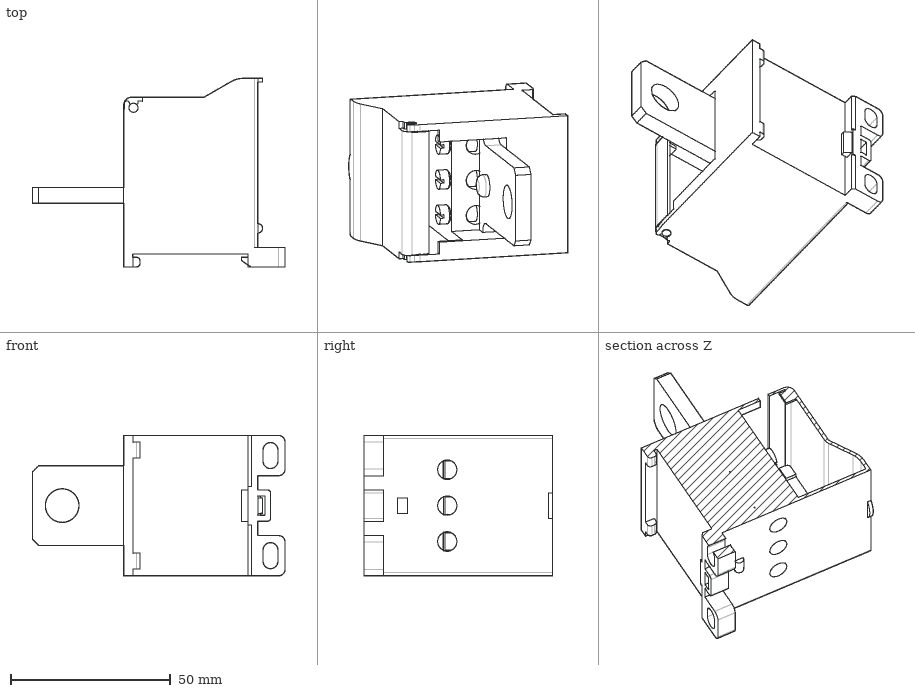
import cadquery as cq
import math

length = 79.2
height = 59.2
half_width = 22.0

front_x = 28.6
back_x = 70.65
deck_y = 53.2
slope_start_x = 53.8
slope_angle = 30.0
hood_radius = 7.9
front_corner_radius = 2.5
back_edge_radius = 1.0
wall = 1.3
roof_kink_radius = 3.95

foot_y = 6.2
channel_x1 = 31.5
channel_x2 = 67.55
channel_y = 4.0
hook_y = 3.1
front_hook_reach = 2.2
front_hook_radius = 1.1
front_hook_inner_z = 14.9
front_hook_outer_z = 19.9
rear_hook_reach = 2.05
rear_hook_lip = 1.0
rear_hook_run = 2.8
rear_hook_half_z = 4.9
foot_chamfer_x = 1.0
foot_chamfer_y = 0.7
foot_chamfer_inner_z = 6.0
lug_inner_z = 9.35
lug_radius = 2.05
slot_x = 74.6
slot_z = 15.7
slot_length = 8.1
slot_width = 4.6
tab_x = 74.7
tab_half_z = 4.9
tab_radius = 0.95
window_length = 2.2
window_half_z = 3.0

cavity_half_z = 19.9
opening_half_z = 16.1
step_y = 41.8
flap_bottom_y = 45.15
flap_thickness = 0.95
flap_gap = 0.2
flap_gap_top_y = 50.7
block_front_x = 42.4
block_top_y = 34.0

bar_y = 19.95
bar_thickness = 5.0
bar_top_y = bar_y + bar_thickness
bar_half_z = 12.5
bar_chamfer = 2.0
bar_hole_x = 9.35
bar_hole_diameter = 10.45
flare_x = 34.85

terminal_pitch = 11.25
terminal_hole_y = 26.1
terminal_hole_radius = 3.0
screw_x = 45.8
screw_tip_y = 25.4
screw_radius = 2.8
head_radius = 3.0
head_height = 3.5
head_neck = 0.55
driver_slot_width = 1.0
driver_slot_depth = 1.1
bar_screw_x = 33.6
bar_screw_radius = 3.5
bar_screw_rim = 1.2
bar_screw_height = 2.9

hinge_x = 31.7
hinge_y = 49.9
hinge_radius = 1.4
hinge_recess = 0.3
catch_reach = 1.5
catch_y = 12.1
catch_half_z = 2.45
thumb_radius = 6.1
thumb_thickness = 1.3


def box(x1, x2, y1, y2, z1, z2):
    """Block between two opposite corners."""
    return cq.Workplane("XY").box(x2 - x1, y2 - y1, z2 - z1, centered=False).translate((x1, y1, z1))


def slab(x1, x2, y1, y2, half_z):
    """Block centred across the width."""
    return box(x1, x2, y1, y2, -half_z, half_z)


def post(x, z, y1, y2, radius):
    """Upright cylinder from height y1 to y2."""
    return cq.Workplane("XZ", origin=(x, y1, z)).circle(radius).extrude(y1 - y2)


def lid_profile(inset, bottom_y):
    """Side profile of the housing, offset inwards by the inset."""
    angle = math.radians(slope_angle)
    top = height - inset
    deck = deck_y - inset
    kink_x = slope_start_x + inset * math.tan(angle / 2)
    crest_x = kink_x + (top - deck) / math.tan(angle)
    radius = hood_radius - inset
    tangent = radius * math.tan(angle / 2)
    corner = front_corner_radius - inset
    x1 = front_x + inset
    x2 = back_x - inset
    bend = corner * (1 - math.sqrt(0.5))
    return (
        cq.Workplane("XY")
        .moveTo(x1, bottom_y)
        .lineTo(x1, deck - corner)
        .threePointArc((x1 + bend, deck - bend), (x1 + corner, deck))
        .lineTo(kink_x, deck)
        .lineTo(crest_x - tangent * math.cos(angle), top - tangent * math.sin(angle))
        .tangentArcPoint((crest_x + tangent, top), relative=False)
        .lineTo(x2, top)
        .lineTo(x2, bottom_y)
        .close()
    )


def make_housing():
    """Hollow housing with a stepped front opening and the lid flap above it."""
    housing = lid_profile(0, 0).extrude(half_width, both=True)
    housing = housing.edges("|Y and >X").fillet(back_edge_radius)
    cavity = lid_profile(wall, block_top_y).extrude(cavity_half_z, both=True)
    roof_kink = cq.selectors.NearestToPointSelector((slope_start_x, deck_y - wall, 0))
    cavity = cavity.edges("|Z").edges(roof_kink).fillet(roof_kink_radius)
    housing = housing.cut(cavity)
    housing = housing.cut(slab(front_x + wall, block_front_x, bar_y, block_top_y, opening_half_z))
    housing = housing.cut(slab(front_x, front_x + wall, bar_y, step_y, opening_half_z))
    housing = housing.cut(slab(front_x, front_x + wall, step_y, flap_bottom_y, cavity_half_z))
    flap_back_x = front_x + flap_thickness
    housing = housing.cut(
        slab(flap_back_x, front_x + wall, flap_bottom_y, flap_gap_top_y, cavity_half_z)
    )
    for side in (-1, 1):
        gap = slab(front_x, flap_back_x, flap_bottom_y, flap_gap_top_y, flap_gap / 2)
        housing = housing.cut(gap.translate((0, 0, side * (cavity_half_z - flap_gap / 2))))
    return housing


def add_foot(body):
    """Slotted lugs, centre tab, rail channel and the hooks that grip the rail."""
    foot = slab(channel_x2, back_x, 0, foot_y, half_width)
    for side in (-1, 1):
        z1, z2 = sorted((side * lug_inner_z, side * half_width))
        lug = box(channel_x2, length, 0, foot_y, z1, z2).edges("|Y and >X").fillet(lug_radius)
        foot = foot.union(lug)
    tab = slab(channel_x2, tab_x, 0, foot_y, tab_half_z).edges("|Y and >X").fillet(tab_radius)
    foot = foot.union(tab)
    body = body.union(foot)

    body = body.cut(slab(channel_x1, channel_x2, 0, channel_y, half_width))
    body = body.cut(slab(back_x, back_x + window_length, 0, foot_y, window_half_z))
    slots = (
        cq.Workplane("XZ")
        .pushPoints([(slot_x, -slot_z), (slot_x, slot_z)])
        .slot2D(slot_length, slot_width, 90)
        .extrude(-foot_y)
    )
    body = body.cut(slots)

    for side in (-1, 1):
        z1, z2 = sorted((side * foot_chamfer_inner_z, side * half_width))
        bevel = (
            cq.Workplane("XY", origin=(channel_x2, 0, z1))
            .polyline([(0, 0), (foot_chamfer_x, 0), (0, foot_chamfer_y)])
            .close()
            .extrude(z2 - z1)
        )
        body = body.cut(bevel)
        z1, z2 = sorted((side * front_hook_inner_z, side * front_hook_outer_z))
        hook = box(channel_x1, channel_x1 + front_hook_reach, 0, hook_y, z1, z2)
        body = body.union(hook.edges("|Z and >X").fillet(front_hook_radius))

    rear_hook = (
        cq.Workplane("XY", origin=(channel_x2, 0, 0))
        .moveTo(-rear_hook_reach, hook_y)
        .lineTo(-rear_hook_reach, hook_y - rear_hook_lip)
        .lineTo(rear_hook_run - rear_hook_reach, 0)
        .lineTo(rear_hook_run - rear_hook_reach, hook_y)
        .close()
        .extrude(rear_hook_half_z, both=True)
    )
    return body.union(rear_hook)


def make_busbar():
    """Flat connecting bar, chamfered at the tip and flaring out inside the front opening."""
    flare = opening_half_z - bar_half_z
    bar = slab(0, block_front_x, bar_y, bar_top_y, bar_half_z).edges("|Y and <X").chamfer(bar_chamfer)
    bar = bar.cut(post(bar_hole_x, 0, bar_y, bar_top_y, bar_hole_diameter / 2))
    bar = bar.union(slab(flare_x, block_front_x, bar_y, bar_top_y, opening_half_z))
    for side in (-1, 1):
        bar = bar.cut(post(flare_x, side * opening_half_z, bar_y, bar_top_y, flare))
    return bar


def make_bar_screw():
    """Domed screw head on the busbar."""
    rim_y = bar_top_y + bar_screw_rim
    dome_rise = bar_screw_height - bar_screw_rim
    bend = math.sqrt(0.5)
    return (
        cq.Workplane("XY", origin=(bar_screw_x, 0, 0))
        .moveTo(0, bar_top_y)
        .lineTo(bar_screw_radius, bar_top_y)
        .lineTo(bar_screw_radius, rim_y)
        .threePointArc(
            (bar_screw_radius - dome_rise * (1 - bend), rim_y + dome_rise * bend),
            (bar_screw_radius - dome_rise, rim_y + dome_rise),
        )
        .lineTo(0, rim_y + dome_rise)
        .close()
        .revolve(360, (0, 0, 0), (0, 1, 0))
    )


def make_clamp_screw(z):
    """Slotted terminal screw whose tip reaches into the wire hole."""
    head_top = block_top_y + head_height
    head = post(screw_x, z, block_top_y, head_top, head_radius).faces("<Y").chamfer(head_neck)
    driver_slot = slab(
        screw_x - head_radius,
        screw_x + head_radius,
        head_top - driver_slot_depth,
        head_top,
        driver_slot_width / 2,
    )
    head = head.cut(driver_slot.translate((0, 0, z)))
    return head.union(post(screw_x, z, screw_tip_y, block_top_y, screw_radius))


def add_terminals(body):
    """Three wire holes running out through the back, each with its clamp screw."""
    for index in (-1, 0, 1):
        z = index * terminal_pitch
        wire_hole = (
            cq.Workplane("YZ", origin=(block_front_x, terminal_hole_y, z))
            .circle(terminal_hole_radius)
            .extrude(back_x - block_front_x)
        )
        body = body.cut(wire_hole).union(make_clamp_screw(z))
    return body


def add_hinges(body):
    """Notch in each side wall at the lid corner, with a recessed hinge pin on an ear of the lid."""
    depth = half_width - cavity_half_z
    ear_thickness = 1.3
    ear_bottom_y = hinge_y - hinge_radius
    lean_y1 = 48.1
    lean_y2 = 49.8
    cap_x1 = 28.8
    cap_x2 = 30.4
    cap_y = 51.25
    cap_radius = (cap_x2 - cap_x1) / 2
    relief_x1 = 33.0
    relief_x2 = 34.45
    relief_y = 51.95
    for side in (-1, 1):
        z1, z2 = sorted((side * cavity_half_z, side * half_width))
        notch = (
            cq.Workplane("XY", origin=(0, 0, z1))
            .moveTo(front_x, deck_y)
            .lineTo(front_x, lean_y1)
            .lineTo(cap_x1, lean_y2)
            .lineTo(cap_x1, cap_y)
            .threePointArc((cap_x1 + cap_radius, cap_y + cap_radius), (cap_x2, cap_y))
            .lineTo(hinge_x, hinge_y)
            .lineTo(relief_x1, cap_y)
            .lineTo(relief_x1, relief_y)
            .lineTo(relief_x2, relief_y)
            .lineTo(relief_x2, deck_y)
            .close()
            .extrude(depth)
        )
        socket = cq.Workplane("XY", origin=(hinge_x, hinge_y, z1)).circle(hinge_radius).extrude(depth)
        pin = socket.translate((0, 0, -side * hinge_recess))
        ear_z1, ear_z2 = sorted((side * (cavity_half_z - ear_thickness), side * cavity_half_z))
        ear = box(front_x + front_corner_radius / 2, relief_x2, ear_bottom_y, deck_y - wall, ear_z1, ear_z2)
        body = body.cut(notch).cut(socket).union(ear).union(pin)
    return body


def add_rear_catches(body):
    """Round catch low on the back and a curved thumb lip along its top."""
    catch = (
        cq.Workplane("XY", origin=(back_x, catch_y, 0)).circle(catch_reach).extrude(catch_half_z, both=True)
    )
    thumb_x = back_x + catch_reach - thumb_radius
    thumb = post(thumb_x, 0, height - thumb_thickness, height, thumb_radius)
    thumb = thumb.intersect(slab(back_x - wall, length, height - thumb_thickness, height, thumb_radius))
    return body.union(catch).union(thumb)


body = add_foot(make_housing())
body = body.union(make_busbar()).union(make_bar_screw())
body = add_terminals(body)
body = add_hinges(body)
result = add_rear_catches(body)